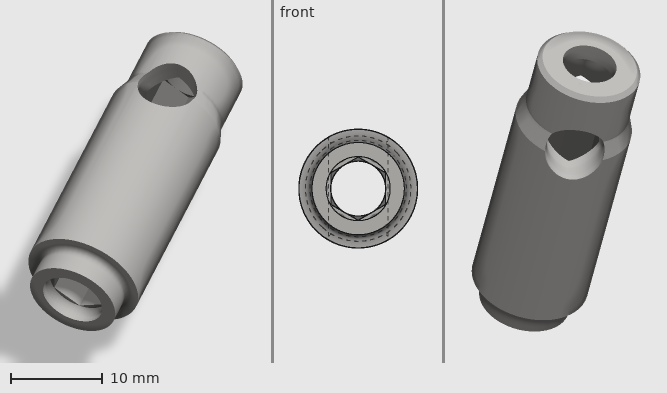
import cadquery as cq
import math

length = 35.0
body_diameter = 13.0
head_diameter = 11.5
spigot_diameter = 10.08
spigot_length = 3.0
spigot_fillet = 0.5
head_length = 6.48
taper_length = 2.05
end_chamfer_length = 0.5
end_chamfer_width = 0.5

hex_across_flats = 6.0
bore_diameter = hex_across_flats
counterbore_diameter = 7.0
counterbore_depth = 2.0
end_wall_thickness = 2.0

cross_hole_diameter = 6.5
cross_hole_from_end = 8.0

front_y = -length / 2
back_y = length / 2
cross_hole_y = back_y - cross_hole_from_end
hex_depth = length - end_wall_thickness


def make_outside():
    """Turned body with a filleted spigot in front and a necked head behind."""
    body_radius = body_diameter / 2
    head_radius = head_diameter / 2
    spigot_radius = spigot_diameter / 2
    shoulder_y = front_y + spigot_length
    head_y = back_y - head_length
    fillet_offset = spigot_fillet * (1 - math.sqrt(0.5))
    profile = (
        cq.Workplane("XY")
        .moveTo(0, front_y)
        .lineTo(spigot_radius, front_y)
        .lineTo(spigot_radius, shoulder_y - spigot_fillet)
        .threePointArc(
            (spigot_radius + fillet_offset, shoulder_y - fillet_offset),
            (spigot_radius + spigot_fillet, shoulder_y),
        )
        .lineTo(body_radius, shoulder_y)
        .lineTo(body_radius, head_y - taper_length)
        .lineTo(head_radius, head_y)
        .lineTo(head_radius, back_y - end_chamfer_length)
        .lineTo(head_radius - end_chamfer_width, back_y)
        .lineTo(0, back_y)
        .close()
    )
    return profile.revolve(360, (0, 0, 0), (0, 1, 0))


def front_plane():
    """Workplane on the spigot face whose normal points into the part."""
    return cq.Workplane(cq.Plane((0, front_y, 0), xDir=(0, 0, 1), normal=(0, 1, 0)))


def make_bore():
    """Round through bore with a hexagon socket and a counterbore in front."""
    hex_across_corners = hex_across_flats / math.cos(math.pi / 6)
    bore = front_plane().circle(bore_diameter / 2).extrude(length)
    socket = front_plane().polygon(6, hex_across_corners).extrude(hex_depth)
    counterbore = front_plane().circle(counterbore_diameter / 2).extrude(counterbore_depth)
    return bore.union(socket).union(counterbore)


def make_cross_hole():
    return (
        cq.Workplane("XY")
        .center(0, cross_hole_y)
        .circle(cross_hole_diameter / 2)
        .extrude(body_diameter, both=True)
    )


result = make_outside().cut(make_bore()).cut(make_cross_hole())